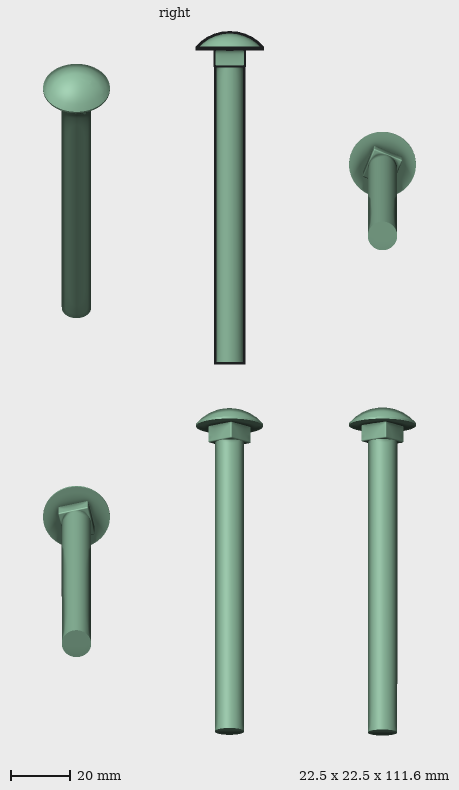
import cadquery as cq

total_length = 111.6
head_diameter = 22.5
head_height = 5.9
rim_height = 0.7
shank_diameter = 9.9
neck_width = 10.4
neck_height = 5.7
neck_edge_radius = 0.5

head_bottom = total_length - head_height
neck_bottom = head_bottom - neck_height
head_radius = head_diameter / 2

dome_height = head_height - rim_height
dome_radius = (head_radius**2 + dome_height**2) / (2 * dome_height)
dome_center_z = total_length - dome_radius
arc_mid_x = head_radius / 2
arc_mid_z = dome_center_z + (dome_radius**2 - arc_mid_x**2) ** 0.5


def make_head():
    """Domed round head with a thin cylindrical rim."""
    return (
        cq.Workplane("XZ")
        .moveTo(0, head_bottom)
        .lineTo(head_radius, head_bottom)
        .lineTo(head_radius, head_bottom + rim_height)
        .threePointArc((arc_mid_x, arc_mid_z), (0, total_length))
        .close()
        .revolve(360, (0, 0, 0), (0, 1, 0))
    )


def make_neck():
    """Square anti-rotation neck with all its edges rounded."""
    return (
        cq.Workplane("XY", origin=(0, 0, neck_bottom))
        .rect(neck_width, neck_width)
        .extrude(neck_height)
        .edges()
        .fillet(neck_edge_radius)
    )


def make_shank():
    """Plain round shank reaching up to the head."""
    return cq.Workplane("XY").circle(shank_diameter / 2).extrude(head_bottom)


result = make_head().union(make_neck()).union(make_shank())